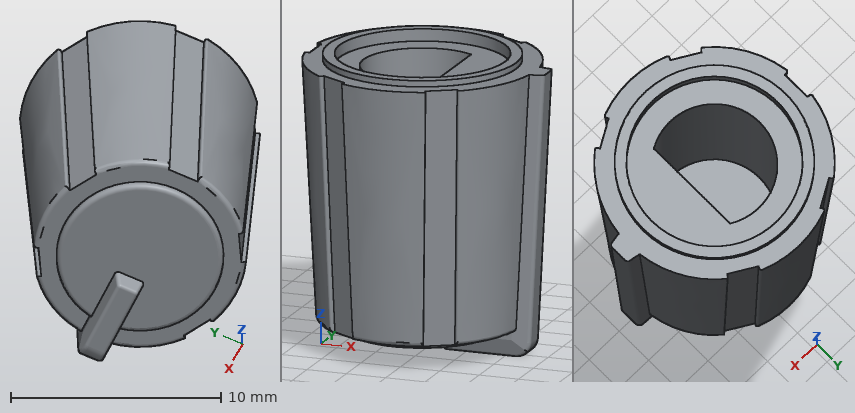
import cadquery as cq
import math

TOTAL_HEIGHT = 14.4
COLLAR_HEIGHT = 0.3
SKIRT_BOTTOM_Z = 1.28
DISC_BOTTOM_Z = 0.88
SHOULDER_Z = TOTAL_HEIGHT - COLLAR_HEIGHT

SHOULDER_RADIUS = 5.73
SKIRT_DRAFT = 3.0
COLLAR_RADIUS = 4.75
DISC_RADIUS = 3.97
EDGE_FILLET = 0.25

GROOVE_PITCH = 60
GROOVE_ANGLES = range(GROOVE_PITCH, 360, GROOVE_PITCH)
GROOVE_FLOOR_RADIUS = 5.45
GROOVE_FLOOR_HALF_WIDTH = 0.76
GROOVE_WALL_ANGLE = 5.0
GROOVE_CUT_DEPTH = 0.72
GROOVE_MOUTH_FILLET = 0.1

RECESS_RADIUS = 4.19
RECESS_DEPTH = 0.6
SHAFT_RADIUS = 3.0
SHAFT_FLAT_X = 1.5
SHAFT_DEPTH = 10.08

POINTER_TIP_X = 6.4
POINTER_TIP_HALF_WIDTH = 0.59
POINTER_HALF_WIDTH = 0.75
POINTER_FLANK_ANGLE = 10.0
POINTER_INNER_X = 1.05
POINTER_FOOT_DRAFT = 14.0
POINTER_CORNER_RADIUS = 0.82
POINTER_FILLET = 0.19


def taper_offset(z):
    """Inward shift of the drafted surfaces at height z, zero at the shoulder."""
    return (SHOULDER_Z - z) * math.tan(math.radians(SKIRT_DRAFT))


def cylinder(radius, bottom_z, top_z):
    return cq.Workplane("XY").workplane(offset=bottom_z).circle(radius).extrude(top_z - bottom_z)


def tapered_prism(outline, bottom_z, top_z):
    """Ruled prism through the outline(z) polygons at two heights."""
    lower = cq.Wire.makePolygon([cq.Vector(x, y, bottom_z) for x, y in outline(bottom_z)], close=True)
    upper = cq.Wire.makePolygon([cq.Vector(x, y, top_z) for x, y in outline(top_z)], close=True)
    return cq.Workplane(obj=cq.Solid.makeLoft([lower, upper], True))


def groove_outline(z):
    floor_x = GROOVE_FLOOR_RADIUS - taper_offset(z)
    wall_spread = GROOVE_CUT_DEPTH * math.tan(math.radians(GROOVE_WALL_ANGLE))
    mouth_half_width = GROOVE_FLOOR_HALF_WIDTH + wall_spread
    mouth_x = floor_x + GROOVE_CUT_DEPTH
    return [
        (floor_x, -GROOVE_FLOOR_HALF_WIDTH),
        (mouth_x, -mouth_half_width),
        (mouth_x, mouth_half_width),
        (floor_x, GROOVE_FLOOR_HALF_WIDTH),
    ]


def make_skirt():
    bottom_radius = SHOULDER_RADIUS - taper_offset(SKIRT_BOTTOM_Z)
    cone = cq.Workplane(
        obj=cq.Solid.makeCone(
            bottom_radius,
            SHOULDER_RADIUS,
            SHOULDER_Z - SKIRT_BOTTOM_Z,
            pnt=cq.Vector(0, 0, SKIRT_BOTTOM_Z),
        )
    )
    skirt = cone
    for angle in GROOVE_ANGLES:
        groove = tapered_prism(groove_outline, SKIRT_BOTTOM_Z, SHOULDER_Z)
        skirt = skirt.cut(groove.rotate((0, 0, 0), (0, 0, 1), angle))
    mouth_edges = skirt.faces("%CONE").edges("not (<Z or >Z)")
    skirt = mouth_edges.fillet(GROOVE_MOUTH_FILLET)
    rounded_cone = cone.faces("<Z").edges().fillet(EDGE_FILLET)
    return skirt.intersect(rounded_cone)


def pointer_outline(z):
    tip_x = POINTER_TIP_X - taper_offset(z)
    flank_length = (POINTER_HALF_WIDTH - POINTER_TIP_HALF_WIDTH) / math.tan(math.radians(POINTER_FLANK_ANGLE))
    flank_x = tip_x - flank_length
    return [
        (0, -POINTER_HALF_WIDTH),
        (flank_x, -POINTER_HALF_WIDTH),
        (tip_x, -POINTER_TIP_HALF_WIDTH),
        (tip_x, POINTER_TIP_HALF_WIDTH),
        (flank_x, POINTER_HALF_WIDTH),
        (0, POINTER_HALF_WIDTH),
    ]


def make_pointer():
    rib = tapered_prism(pointer_outline, 0, SHOULDER_Z)
    foot_inset = DISC_BOTTOM_Z * math.tan(math.radians(POINTER_FOOT_DRAFT))
    foot_half_width = POINTER_HALF_WIDTH - foot_inset
    cross_section = (
        cq.Workplane("YZ")
        .polyline([
            (-foot_half_width, 0),
            (foot_half_width, 0),
            (POINTER_HALF_WIDTH, DISC_BOTTOM_Z),
            (POINTER_HALF_WIDTH, SHOULDER_Z),
            (-POINTER_HALF_WIDTH, SHOULDER_Z),
            (-POINTER_HALF_WIDTH, DISC_BOTTOM_Z),
        ])
        .close()
        .extrude(POINTER_TIP_X)
    )
    side_profile = (
        cq.Workplane("XZ")
        .polyline([
            (POINTER_INNER_X + foot_inset, 0),
            (POINTER_TIP_X - taper_offset(0), 0),
            (POINTER_TIP_X, SHOULDER_Z),
            (POINTER_INNER_X, SHOULDER_Z),
            (POINTER_INNER_X, DISC_BOTTOM_Z),
        ])
        .close()
        .extrude(POINTER_HALF_WIDTH, both=True)
        .faces("<Z")
        .edges(">X")
        .fillet(POINTER_CORNER_RADIUS)
    )
    pointer = rib.intersect(cross_section).intersect(side_profile)
    foot_edges = pointer.faces("<Z").edges()
    inner_end_middle = (POINTER_INNER_X + foot_inset / 2, 0, DISC_BOTTOM_Z / 2)
    inner_end = pointer.faces(cq.selectors.NearestToPointSelector(inner_end_middle))
    inner_end_edges = inner_end.edges("not #Z")
    tip_edges = pointer.faces(">X").edges("not #Z")
    return foot_edges.add(inner_end_edges).add(tip_edges).fillet(POINTER_FILLET)


def make_shaft_hole():
    recess_floor_z = TOTAL_HEIGHT - RECESS_DEPTH
    floor_z = recess_floor_z - SHAFT_DEPTH
    flat_half_length = math.sqrt(SHAFT_RADIUS**2 - SHAFT_FLAT_X**2)
    return (
        cq.Workplane("XY")
        .workplane(offset=floor_z)
        .moveTo(SHAFT_FLAT_X, flat_half_length)
        .threePointArc((-SHAFT_RADIUS, 0), (SHAFT_FLAT_X, -flat_half_length))
        .close()
        .extrude(SHAFT_DEPTH)
    )


def make_knob():
    knob = make_skirt()
    disc = cylinder(DISC_RADIUS, DISC_BOTTOM_Z, SHOULDER_Z).faces("<Z").edges().fillet(EDGE_FILLET)
    collar = cylinder(COLLAR_RADIUS, SKIRT_BOTTOM_Z, TOTAL_HEIGHT)
    recess = cylinder(RECESS_RADIUS, TOTAL_HEIGHT - RECESS_DEPTH, TOTAL_HEIGHT)
    knob = knob.union(disc).union(collar).union(make_pointer())
    return knob.cut(recess).cut(make_shaft_hole())


result = make_knob()